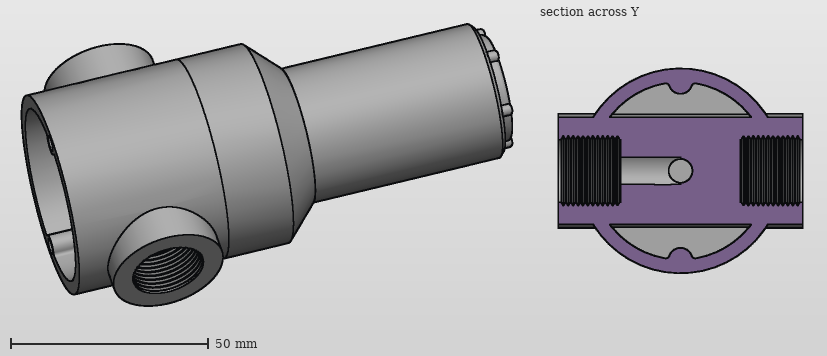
import cadquery as cq
import math


body_diameter = 52.0
head_length = 39.5
pocket_diameter = 45.0
pocket_depth = 20.0

port_span = 62.0
port_diameter = 29.0
port_axis_y = 22.0

thread_minor_diameter = 18.63
thread_pitch = 1.25
thread_turns = 12
thread_lead_in = 0.8
thread_crest_width = 0.3
groove_width = thread_pitch - thread_crest_width
thread_angle = 60.0
thread_depth = thread_lead_in + thread_pitch * thread_turns

inlet_diameter = 12.0
bore_diameter = 6.0
bore_start_y = 17.0

boss_diameter = 6.0
boss_fillet = 1.0
screw_hole_diameter = 4.0
screw_hole_depth = 15.0
boss_offset = pocket_diameter / 2

collar_straight_end_y = 56.6
cone_small_diameter = 35.5
cone_length = (body_diameter - cone_small_diameter) / 2
collar_end_y = collar_straight_end_y + cone_length

total_length = 118.4
bowl_diameter = 35.0
disc_thickness = 3.0
bowl_end_y = total_length - disc_thickness
bowl_chamfer = 1.0
disc_diameter = 28.0
disc_fillet = 1.5
lug_diameter = 3.0
lug_fillet = 1.0
lug_count = 6
lug_circle_radius = 14.0


def cylinder_along_y(diameter, start_y, end_y, x=0.0, z=0.0):
    """Solid cylinder parallel to Y, between two Y positions."""
    plane = cq.Workplane("XZ", origin=(x, start_y, z))
    return plane.circle(diameter / 2).extrude(start_y - end_y)


def cylinder_along_x(diameter, start_x, end_x):
    """Solid cylinder on the port axis, between two X positions."""
    plane = cq.Workplane("YZ", origin=(start_x, port_axis_y, 0))
    return plane.circle(diameter / 2).extrude(end_x - start_x)


def make_thread_cutter():
    """Threaded hole of the left port: a core with one V groove per turn."""
    mouth_x = -port_span / 2
    minor_radius = thread_minor_diameter / 2
    groove_radius = minor_radius + groove_width / 2 / math.tan(math.radians(thread_angle / 2))
    profile = cq.Workplane("XY").moveTo(mouth_x, 0).lineTo(mouth_x, minor_radius)
    for turn in range(thread_turns):
        groove_x = mouth_x + thread_lead_in + turn * thread_pitch
        profile = profile.lineTo(groove_x, minor_radius)
        profile = profile.lineTo(groove_x + groove_width / 2, groove_radius)
        profile = profile.lineTo(groove_x + groove_width, minor_radius)
    profile = profile.lineTo(mouth_x + thread_depth, minor_radius)
    profile = profile.lineTo(mouth_x + thread_depth, 0).close()
    cutter = profile.revolve(360, (0, 0, 0), (1, 0, 0))
    return cutter.translate((0, port_axis_y, 0))


def make_pocket_cutter(cross_tube):
    """Front pocket, leaving the two screw bosses and the cross tube standing."""
    cutter = cylinder_along_y(pocket_diameter, 0, pocket_depth)
    for side in (1, -1):
        cutter = cutter.cut(cylinder_along_y(boss_diameter, 0, pocket_depth, z=side * boss_offset))
    cutter = cutter.edges("|Y and (>Z or <Z)").fillet(boss_fillet)
    return cutter.cut(cross_tube)


def make_head():
    cross_tube = cylinder_along_x(port_diameter, -port_span / 2, port_span / 2)
    head = cylinder_along_y(body_diameter, 0, head_length).union(cross_tube)
    head = head.cut(make_pocket_cutter(cross_tube))
    for side in (1, -1):
        head = head.cut(cylinder_along_y(screw_hole_diameter, 0, screw_hole_depth, z=side * boss_offset))

    head = head.cut(cylinder_along_y(bore_diameter, bore_start_y, head_length))
    head = head.cut(cylinder_along_x(inlet_diameter, -port_span / 2, 0))

    left_thread = make_thread_cutter()
    return head.cut(left_thread).cut(left_thread.mirror("YZ"))


def make_collar():
    body_radius = body_diameter / 2
    bowl_radius = bowl_diameter / 2
    profile = (
        cq.Workplane("XY")
        .moveTo(bowl_radius, head_length)
        .lineTo(body_radius, head_length)
        .lineTo(body_radius, collar_straight_end_y)
        .lineTo(cone_small_diameter / 2, collar_end_y)
        .lineTo(bowl_radius, collar_end_y)
        .close()
    )
    return profile.revolve(360, (0, 0, 0), (0, 1, 0))


def make_bowl():
    tube = cylinder_along_y(bowl_diameter, head_length, bowl_end_y)
    tube = tube.edges(">Y").chamfer(bowl_chamfer)
    disc = cylinder_along_y(disc_diameter, bowl_end_y, total_length)
    bowl = tube.union(disc.edges(">Y").fillet(disc_fillet))
    for index in range(lug_count):
        angle = 2 * math.pi * index / lug_count
        lug_x = lug_circle_radius * math.sin(angle)
        lug_z = lug_circle_radius * math.cos(angle)
        lug = cylinder_along_y(lug_diameter, bowl_end_y, total_length, x=lug_x, z=lug_z)
        bowl = bowl.union(lug.edges(">Y").fillet(lug_fillet))
    return bowl


head = make_head()
collar = make_collar()
bowl = make_bowl()

result = cq.Compound.makeCompound([head.val(), collar.val(), bowl.val()])